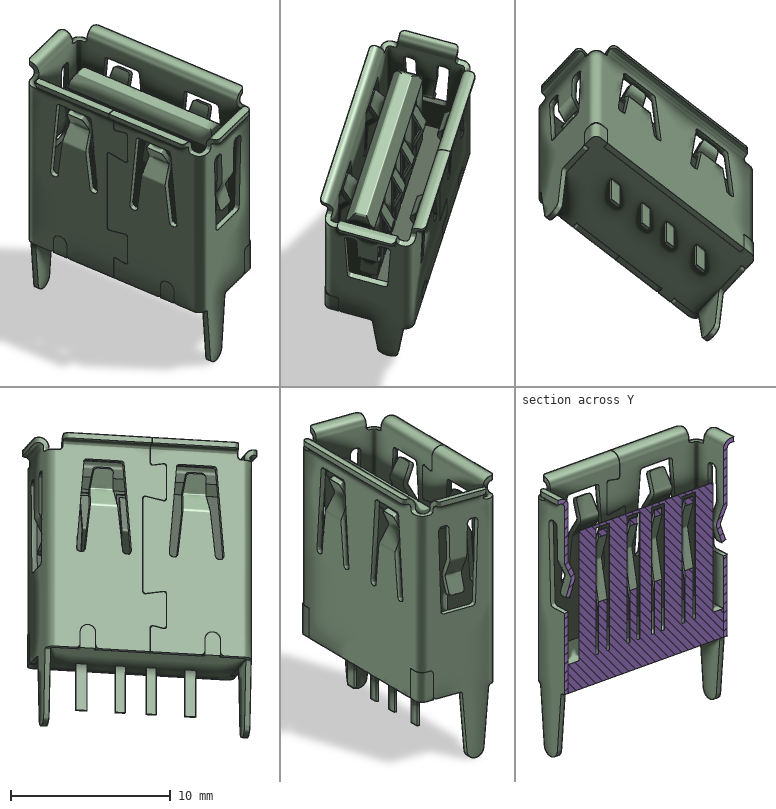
import cadquery as cq
import math


overall_x = 14.3
overall_y = 6.9
overall_z = 18.5
leg_length = 4.77
long_lip_overhang = 0.54
short_lip_overhang = 0.52
shell_top = overall_z - leg_length
shell_x = overall_x - 2 * short_lip_overhang
shell_y = overall_y - 2 * long_lip_overhang

sheet = 0.35
shell_corner = 0.61
notch_floor = 12.75
lip_bend = 0.3
lip_corner = 0.33
lip_root_fillet = 0.25
long_lip = 11.25
short_lip = 3.81

seam_gap = 0.02
seam_right = 1.04
seam_left = -0.48
seam_middle = 6.88
seam_rounding = 0.17
bite_root = 5.16
bite_outer = 5.36
bite_inner = 2.9
bite_inner_tip = 3.18

long_spring_x = 2.98
long_spring = dict(
    root_z=6.22, end_z=12.23, window_root=3.57, window_end=2.55,
    bend_z=9.32, peak_z=10.53, tip_z=11.7, tab_root=2.45, tab_tip=1.15,
    peak_depth=0.67, tip_depth=0.07, root_rounding=0.28, end_rounding=0.22,
)
short_spring = dict(
    root_z=11.73, end_z=5.7, window_root=3.02, window_end=2.6,
    bend_z=9.15, peak_z=7.97, tip_z=6.75, tab_root=1.4, tab_tip=1.15,
    peak_depth=0.57, tip_depth=0.13, root_rounding=0.33, end_rounding=0.25,
)
tab_root_bend = 0.07
tab_peak_bend = 0.18
tab_corner = 0.22

leg_y = -1.31
leg_root_width = 2.0
leg_tip_width = 1.3
leg_tip_round = 0.6
leg_root_fillet = 0.17

arch_x = 4.01
arch_width = 1.0
arch_height = 1.52
cutout_flare = 0.25
plug_reach = 1.02
plug_height = 2.04
plug_corner = 0.46
plug_rounding = 0.25

floor_z = plug_height
tongue_x = 11.17
tongue_front = -0.04
tongue_back = 1.85
tongue_top = 11.99
tongue_shoulder = 11.03
tongue_taper = 0.54
tongue_corner = 0.25
tongue_rim = 0.18
groove_margin = 0.18
groove_top = 10.82
contact_thickness = 0.18
contacts = [(-3.5, 0.7), (-1.0, 0.63), (1.0, 0.63), (3.5, 0.7)]
contact_bend_z = 4.92
contact_peak_z = 8.29
contact_tip_z = 10.62
contact_bulge = 0.7
contact_peak_radius = 0.28
pin_y = 1.11
pin_length = 3.0


def both_sides(body, plane):
    """The body joined with its mirror image."""
    return body.union(body.mirror(plane))


def on_short_wall(body):
    """Turn a body made for the -Y wall so that it stands on the -X wall."""
    return body.rotate((0, 0, 0), (0, 0, 1), -90)


def wall_plate(outline, wall_face, depth=sheet):
    """Extrude an (x, z) outline from the outer face of a -Y wall inwards."""
    plate = cq.Workplane("XZ", origin=(0, -wall_face, 0)).polyline(outline).close()
    return plate.extrude(-depth)


def fillet_piece(x, z, radius, wall_face):
    """Concave fillet in a -Y wall, in the corner above z and to the +X side of x."""
    outline = (
        cq.Workplane("XZ", origin=(0, -wall_face, 0))
        .moveTo(x, z)
        .lineTo(x + radius, z)
        .radiusArc((x, z + radius), radius)
        .close()
    )
    return outline.extrude(-sheet)


def trapezoid(width_1, z_1, width_2, z_2):
    """Corner points of a trapezoid centred on x = 0."""
    return [(-width_1 / 2, z_1), (width_1 / 2, z_1), (width_2 / 2, z_2), (-width_2 / 2, z_2)]


def shifted(path, distance):
    """Shift an open path sideways by a distance, with mitred corners."""
    angles = [math.atan2(b[1] - a[1], b[0] - a[0]) for a, b in zip(path, path[1:])]
    before = [angles[0]] + angles
    after = angles + [angles[-1]]
    points = []
    for (y, z), angle_1, angle_2 in zip(path, before, after):
        normal = (angle_1 + angle_2) / 2 + math.pi / 2
        reach = distance / math.cos((angle_2 - angle_1) / 2)
        points.append((y + reach * math.cos(normal), z + reach * math.sin(normal)))
    return points


def bent_strip(path, thickness, width):
    """Sheet strip that follows a (y, z) path on one face, centred on x = 0."""
    outline = path + shifted(path, thickness)[::-1]
    return cq.Workplane("YZ").polyline(outline).close().extrude(width / 2, both=True)


def round_edge(strip, point, radius):
    """Round the edge along X through a (y, z) point."""
    nearest = cq.selectors.NearestToPointSelector((0, point[0], point[1]))
    return strip.edges("|X").edges(nearest).fillet(radius)


def rounded_box(size_x, size_y, z_low, z_high, radius):
    """Upright box, centred on the Z axis, with round vertical edges."""
    base = cq.Workplane("XY", origin=(0, 0, z_low)).rect(size_x, size_y)
    return base.extrude(z_high - z_low).edges("|Z").fillet(radius)


def arch(x):
    """Round-topped upright through the thickness of the -Y wall."""
    radius = arch_width / 2
    outline = (
        cq.Workplane("XZ", origin=(x, -shell_y / 2, 0))
        .moveTo(-radius, 0)
        .lineTo(radius, 0)
        .lineTo(radius, arch_height - radius)
        .threePointArc((0, arch_height), (-radius, arch_height - radius))
        .close()
    )
    return outline.extrude(-sheet)


def corner_plug_space():
    """Block around the lower -X +Y corner of the shell, with its free edges rounded."""
    size = 2 * plug_reach
    block = cq.Workplane("XY").box(size, size, plug_height, centered=(True, True, False))
    block = block.edges("|X and >Z").edges("<Y").fillet(plug_rounding)
    return block.translate((-shell_x / 2, shell_y / 2, 0))


def shell_tube(z_low, z_high):
    outside = rounded_box(shell_x, shell_y, z_low, z_high, shell_corner)
    inside_corner = shell_corner - sheet
    inside = rounded_box(shell_x - 2 * sheet, shell_y - 2 * sheet, z_low, z_high, inside_corner)
    return outside.cut(inside)


def lip(width, wall_face, overhang):
    """Flared lip on top of a -Y wall, with a fillet on each side of its root."""
    bend_z = shell_top - sheet - lip_bend
    bend_y = -wall_face - lip_bend
    inner_bend = lip_bend + sheet
    outer_mid = lip_bend * math.sqrt(0.5)
    inner_mid = inner_bend * math.sqrt(0.5)
    profile = (
        cq.Workplane("YZ")
        .moveTo(-wall_face, notch_floor)
        .lineTo(-wall_face, bend_z)
        .threePointArc((bend_y + outer_mid, bend_z + outer_mid), (bend_y, bend_z + lip_bend))
        .lineTo(-wall_face - overhang, shell_top - sheet)
        .lineTo(-wall_face - overhang, shell_top)
        .lineTo(bend_y, shell_top)
        .threePointArc((bend_y + inner_mid, bend_z + inner_mid), (sheet - wall_face, bend_z))
        .lineTo(sheet - wall_face, notch_floor)
        .close()
    )
    body = profile.extrude(width / 2, both=True).edges("|Z and <Y").fillet(lip_corner)
    root = fillet_piece(width / 2, notch_floor, lip_root_fillet, wall_face)
    return body.union(both_sides(root, "YZ"))


def spring(wall_face, size):
    """Window cutter and bent tab of a spring in a -Y wall, centred on x = 0."""
    outward = math.copysign(1, size["end_z"] - size["root_z"])
    window = wall_plate(
        trapezoid(size["window_root"], size["root_z"], size["window_end"], size["end_z"]), wall_face
    )
    past_tip = size["tip_z"] + outward * sheet
    tab_outline = trapezoid(size["tab_root"], size["root_z"], size["tab_tip"], past_tip)
    root_end, free_end = ("<Z", ">Z") if outward > 0 else (">Z", "<Z")
    slot = window.cut(wall_plate(tab_outline, wall_face))
    slot = slot.edges("|Y").edges(root_end).fillet(size["root_rounding"])
    slot = slot.edges("|Y").edges(free_end).fillet(size["end_rounding"])

    flat_z = size["bend_z"] - outward * sheet
    path = [
        (-wall_face, flat_z),
        (-wall_face, size["bend_z"]),
        (size["peak_depth"] - wall_face, size["peak_z"]),
        (size["tip_depth"] - wall_face, size["tip_z"]),
    ]
    strip = bent_strip(path, -outward * sheet, size["tab_root"])
    inner = shifted(path, -outward * sheet)
    strip = round_edge(strip, path[1], tab_root_bend + sheet)
    strip = round_edge(strip, inner[1], tab_root_bend)
    strip = round_edge(strip, path[2], tab_peak_bend)
    strip = round_edge(strip, inner[2], tab_peak_bend + sheet)

    depth = size["peak_depth"] + 2 * sheet
    tab = strip.intersect(wall_plate(tab_outline, wall_face, depth))
    tip_y = (path[3][0] + inner[3][0]) / 2
    tip_z = (path[3][1] + inner[3][1]) / 2
    for x in (-size["tab_tip"] / 2, size["tab_tip"] / 2):
        tab = tab.edges(cq.selectors.NearestToPointSelector((x, tip_y, tip_z))).fillet(tab_corner)

    beyond_bend = cq.Workplane("XY").box(shell_x, shell_x, overall_z, centered=(True, True, False))
    if outward < 0:
        beyond_bend = beyond_bend.mirror("XY")
    beyond_bend = beyond_bend.translate((0, 0, flat_z))
    opening = slot.union(wall_plate(tab_outline, wall_face).intersect(beyond_bend))
    return opening, tab


def seam_outline():
    """Points of the seam, from the bottom edge of the wall to above the lip."""
    lower = [
        (0, -sheet),
        (0, seam_middle - bite_root),
        (seam_right, seam_middle - bite_outer),
        (seam_right, seam_middle - bite_inner),
        (seam_left, seam_middle - bite_inner_tip),
    ]
    upper = [(x, 2 * seam_middle - z) for x, z in lower[::-1]]
    upper[-1] = (0, shell_top + sheet)
    return lower + upper


def seam():
    """Thin slit through the -Y wall and its lip."""
    path = seam_outline()
    left = shifted(path, seam_gap / 2)
    right = shifted(path, -seam_gap / 2)
    slit = wall_plate(left + right[::-1], shell_y / 2 + long_lip_overhang, long_lip_overhang + sheet)
    reach = 3 * seam_gap
    for x, z in path[1:-1]:
        near = cq.selectors.BoxSelector((x - reach, -shell_y, z - reach), (x + reach, 0, z + reach))
        slit = slit.edges("|Y").edges(near).fillet(seam_rounding)
    return slit


def leg():
    """Tapered solder leg under the -X wall, with a flared root and a round tip."""
    root = leg_root_width / 2
    tip = leg_tip_width / 2
    flare = leg_root_fillet
    tip_z = leg_tip_round - leg_length
    outline = (
        cq.Workplane("YZ", origin=(-shell_x / 2, leg_y, 0))
        .moveTo(root + flare, 0)
        .radiusArc((root, -flare), -flare)
        .lineTo(tip, tip_z)
        .threePointArc((0, -leg_length), (-tip, tip_z))
        .lineTo(-root, -flare)
        .radiusArc((-root - flare, 0), -flare)
        .close()
    )
    return outline.extrude(sheet)


def arch_cutout(x):
    """Arch opening with flared sides at the bottom edge of the wall."""
    flare = fillet_piece(arch_width / 2, 0, cutout_flare, shell_y / 2)
    return arch(x).union(both_sides(flare, "YZ").translate((x, 0, 0)))


def corner_cutout():
    """Opening for the -X +Y corner plug, with a flare at the bottom of the -X wall."""
    flare = fillet_piece(plug_reach - shell_y / 2, 0, cutout_flare, shell_x / 2)
    return corner_plug_space().union(on_short_wall(flare))


def make_shell():
    body = shell_tube(0, notch_floor)
    body = body.union(both_sides(lip(long_lip, shell_y / 2, long_lip_overhang), "XZ"))
    body = body.union(both_sides(on_short_wall(lip(short_lip, shell_x / 2, short_lip_overhang)), "YZ"))
    body = body.union(both_sides(leg().intersect(shell_tube(-leg_length, 0)), "YZ"))

    opening, tab = spring(shell_y / 2, long_spring)
    for x in (-long_spring_x, long_spring_x):
        body = body.cut(both_sides(opening.translate((x, 0, 0)), "XZ"))
        body = body.union(both_sides(tab.translate((x, 0, 0)), "XZ"))
    opening, tab = spring(shell_x / 2, short_spring)
    body = body.cut(both_sides(on_short_wall(opening), "YZ"))
    body = body.union(both_sides(on_short_wall(tab), "YZ"))

    for x in (-arch_x, arch_x):
        body = body.cut(arch_cutout(x))
    body = body.cut(both_sides(corner_cutout(), "YZ"))
    return body.cut(seam())


def base():
    """Block that fills the bottom of the shell and its cutouts."""
    inside_corner = shell_corner - sheet
    block = rounded_box(shell_x - 2 * sheet, shell_y - 2 * sheet, 0, floor_z, inside_corner)
    for x in (-arch_x, arch_x):
        block = block.union(arch(x))
    outside = rounded_box(shell_x, shell_y, 0, plug_height, plug_corner)
    return block.union(both_sides(outside.intersect(corner_plug_space()), "YZ"))


def tongue():
    """Upright tongue whose top tapers on all four sides."""
    depth = tongue_back - tongue_front
    middle_y = (tongue_back + tongue_front) / 2
    body = rounded_box(tongue_x, depth, floor_z, tongue_shoulder, tongue_corner)
    height = tongue_top - tongue_shoulder
    taper = math.degrees(math.atan(tongue_taper / height))
    body = body.faces(">Z").wires().toPending().workplane().extrude(height, taper=taper)
    body = body.faces(">Z").edges().fillet(tongue_rim)
    return body.translate((0, middle_y, 0))


def contact_groove(x, width):
    groove_width = width + 2 * groove_margin
    groove = cq.Workplane("XY").box(
        groove_width, contact_thickness, groove_top - floor_z, centered=(True, False, False)
    )
    return groove.translate((x, tongue_front, floor_z))


def contact_leaf(x, width):
    """Spring leaf that rises flush in its groove, bulges out and dips back in."""
    path = [
        (tongue_front, floor_z),
        (tongue_front, contact_bend_z),
        (tongue_front - contact_bulge, contact_peak_z),
        (tongue_front, contact_tip_z),
    ]
    strip = bent_strip(path, -contact_thickness, width)
    strip = round_edge(strip, path[2], contact_peak_radius + contact_thickness)
    strip = round_edge(strip, shifted(path, -contact_thickness)[2], contact_peak_radius)
    return strip.translate((x, 0, 0))


def contact_pin(x, width):
    pin = cq.Workplane("XY").box(width, contact_thickness, pin_length, centered=(True, True, False))
    return pin.translate((x, pin_y, -pin_length))


def make_insert():
    body = base().union(tongue())
    for x, width in contacts:
        body = body.cut(contact_groove(x, width))
        body = body.union(contact_leaf(x, width))
        body = body.union(contact_pin(x, width))
    return body


shell = make_shell()
insert = make_insert()
result = cq.Compound.makeCompound([shell.solids().val(), insert.solids().val()])